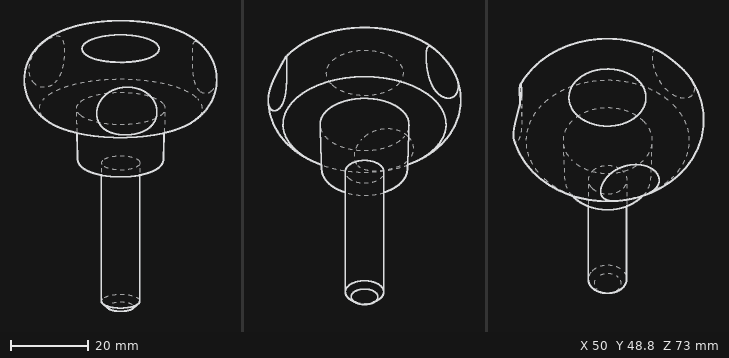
import cadquery as cq
import math

total_height = 73.0

head_diameter = 50.0
head_radius = head_diameter / 2
ring_section_radius = 10.0
ring_centre_radius = head_radius - ring_section_radius
ring_centre_height = total_height - ring_section_radius
head_bottom_drop = 7.9
head_bottom = ring_centre_height - head_bottom_drop
dish_radius = 10.0

hub_length = 15.1
hub_top_radius = 11.5
hub_taper_angle = 1.5
hub_edge_fillet = 1.0

rod_diameter = 10.0
rod_chamfer = 1.5

scallop_radius = 24.95
scallop_floor_distance = 22.5
scallop_angles = (90, 210, 340)


def make_head():
    """Revolve the ring section, with a dished top and a flat underside."""
    underside_radius = ring_centre_radius + math.sqrt(ring_section_radius**2 - head_bottom_drop**2)
    dish_offset = ring_centre_radius - dish_radius
    dish_height = ring_centre_height + math.sqrt(ring_section_radius**2 - dish_offset**2)
    return (
        cq.Workplane("XZ")
        .moveTo(0, head_bottom)
        .lineTo(underside_radius, head_bottom)
        .threePointArc((head_radius, ring_centre_height), (dish_radius, dish_height))
        .lineTo(0, dish_height)
        .close()
        .revolve(360, (0, 0, 0), (0, 1, 0))
    )


def make_hub():
    """Tapered hub, narrowing downwards, with a rounded lower edge."""
    return (
        cq.Workplane("XY", origin=(0, 0, head_bottom))
        .circle(hub_top_radius)
        .extrude(-hub_length, taper=hub_taper_angle)
        .faces("<Z")
        .edges()
        .fillet(hub_edge_fillet)
    )


def make_rod():
    """Round rod running up to the head, chamfered at its tip."""
    return (
        cq.Workplane("XY")
        .circle(rod_diameter / 2)
        .extrude(head_bottom)
        .faces("<Z")
        .chamfer(rod_chamfer)
    )


def make_scallop(angle):
    """Upright cylinder that cuts one finger scallop at the given angle."""
    centre_distance = scallop_floor_distance + scallop_radius
    return (
        cq.Workplane("XY", origin=(0, 0, head_bottom))
        .center(
            centre_distance * math.cos(math.radians(angle)),
            centre_distance * math.sin(math.radians(angle)),
        )
        .circle(scallop_radius)
        .extrude(total_height - head_bottom)
    )


head = make_head()
for scallop_angle in scallop_angles:
    head = head.cut(make_scallop(scallop_angle))

result = head.union(make_hub()).union(make_rod())